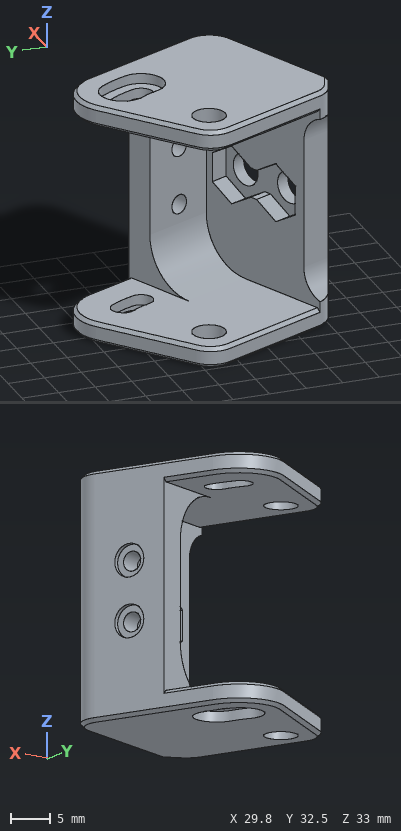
import cadquery as cq
import math

TURN = 24.0
HEIGHT = 32.95
WIDTH = 24.45
PLATE = 2.8
EDGE_CHAMFER = 0.5

REAR_SLOPE = math.radians(15.0)
LEFT_SIDE = 23.35
FRONT_LEFT_CUT = 2.93
FRONT_LEFT_RADIUS = 4.0
FRONT_RIGHT_RADIUS = 4.0
REAR_LEFT_RADIUS = 3.5
REAR_RIGHT_RADIUS = 6.0

FRONT_WALL = 4.4
SIDE_WALL = 3.85
SIDE_WALL_END = 14.55
FRONT_FILLET = 4.0
FRONT_OPENING_Z = 3.62
SIDE_FILLET = 6.98

PIVOT_X, PIVOT_Y = 4.85, 19.6
PIVOT_DIAMETER = 4.4
SLOT_RADIUS = 13.37
SLOT_START, SLOT_END = -4.5, 10.5
SLOT_WIDTH = 3.2
RECESS_WIDTH = 6.2
RECESS_DEPTH = 1.38

FRONT_HOLE_DIAMETER = 4.4
FRONT_HOLE_X = 8.0
FRONT_HOLE_PITCH = 8.0
NUT_FLATS = 6.98
NUT_DEPTH = 2.5
SIDE_HOLE_DIAMETER = 2.6
SIDE_BORE_DIAMETER = 4.4
SIDE_BORE_DEPTH = 0.65
SIDE_HOLE_Y = 9.3
SIDE_HOLE_PITCH = 7.97

MARGIN = 9.88
FRONT_HOLES = (FRONT_HOLE_X, FRONT_HOLE_X + FRONT_HOLE_PITCH)


def box(x0, x1, y0, y1, z0, z1):
    return cq.Workplane("XY").box(x1 - x0, y1 - y0, z1 - z0, centered=False).translate((x0, y0, z0))


def outline_prism(z0, depth):
    """Plate outline with rounded corners, chamfered around both ends."""
    right_side = LEFT_SIDE + WIDTH * math.tan(REAR_SLOPE)
    prism = (
        cq.Workplane("XY")
        .polyline([
            (FRONT_LEFT_CUT, 0),
            (WIDTH, 0),
            (WIDTH, right_side),
            (0, LEFT_SIDE),
            (0, FRONT_LEFT_CUT),
        ])
        .close()
        .extrude(depth)
        .translate((0, 0, z0))
    )
    corners = [
        (WIDTH, 0, FRONT_RIGHT_RADIUS),
        (WIDTH, right_side, REAR_RIGHT_RADIUS),
        (0, LEFT_SIDE, REAR_LEFT_RADIUS),
        (0, FRONT_LEFT_CUT, FRONT_LEFT_RADIUS),
    ]
    for x, y, radius in corners:
        corner = cq.selectors.NearestToPointSelector((x, y, z0 + depth / 2))
        prism = prism.edges("|Z").edges(corner).fillet(radius)
    return prism.faces("<Z or >Z").chamfer(EDGE_CHAMFER)


def opening(face_x, y0, y1, z0, radius):
    """Space centred in height, left of face_x, rounded into the wall at top and bottom."""
    block = box(-MARGIN, face_x, y0, y1, z0, HEIGHT - z0)
    return block.edges("|Y and >X").fillet(radius)


def walls():
    side_face = WIDTH - SIDE_WALL
    body = outline_prism(0, HEIGHT)
    body = body.cut(opening(FRONT_LEFT_CUT, -MARGIN, FRONT_WALL, FRONT_OPENING_Z, FRONT_FILLET))
    body = body.cut(opening(side_face, FRONT_WALL, SIDE_WALL_END, PLATE, SIDE_FILLET))
    body = body.cut(box(-MARGIN, WIDTH + MARGIN, SIDE_WALL_END, HEIGHT + MARGIN, 0, HEIGHT))
    return body.cut(box(-MARGIN, side_face - SIDE_FILLET, FRONT_WALL, SIDE_WALL_END, 0, HEIGHT))


def arc_slot(width, z0, depth):
    """Curved slot with round ends, centred on an arc about the pivot."""
    def polar(radius, degrees):
        angle = math.radians(degrees)
        return (PIVOT_X + radius * math.cos(angle), PIVOT_Y + radius * math.sin(angle))

    inner = SLOT_RADIUS - width / 2
    outer = SLOT_RADIUS + width / 2
    middle = (SLOT_START + SLOT_END) / 2
    band = (
        cq.Workplane("XY")
        .moveTo(*polar(inner, SLOT_START))
        .lineTo(*polar(outer, SLOT_START))
        .threePointArc(polar(outer, middle), polar(outer, SLOT_END))
        .lineTo(*polar(inner, SLOT_END))
        .threePointArc(polar(inner, middle), polar(inner, SLOT_START))
        .close()
        .extrude(depth)
    )
    ends = [polar(SLOT_RADIUS, SLOT_START), polar(SLOT_RADIUS, SLOT_END)]
    round_ends = cq.Workplane("XY").pushPoints(ends).circle(width / 2).extrude(depth)
    return band.union(round_ends).translate((0, 0, z0))


def plate_cuts():
    pivot = cq.Workplane("XY").center(PIVOT_X, PIVOT_Y).circle(PIVOT_DIAMETER / 2).extrude(HEIGHT)
    cuts = pivot.union(arc_slot(SLOT_WIDTH, 0, HEIGHT))
    for z0 in (0, HEIGHT - RECESS_DEPTH):
        cuts = cuts.union(arc_slot(RECESS_WIDTH, z0, RECESS_DEPTH))
    return cuts


def front_wall_cuts():
    """Two screw holes with hexagonal nut pockets joined into one recess."""
    nut_corners = NUT_FLATS / math.cos(math.radians(30))
    nut_side = nut_corners / 2
    floor_y = FRONT_WALL - NUT_DEPTH
    cuts = box(
        FRONT_HOLES[0], FRONT_HOLES[1], floor_y, FRONT_WALL,
        (HEIGHT - nut_side) / 2, (HEIGHT + nut_side) / 2,
    )
    for x in FRONT_HOLES:
        hole = (
            cq.Workplane("XZ", origin=(x, 0, HEIGHT / 2))
            .circle(FRONT_HOLE_DIAMETER / 2)
            .extrude(-FRONT_WALL)
        )
        nut = (
            cq.Workplane("XZ", origin=(x, floor_y, HEIGHT / 2))
            .transformed(rotate=(0, 0, 90))
            .polygon(6, nut_corners)
            .extrude(-NUT_DEPTH)
        )
        cuts = cuts.union(hole).union(nut)
    return cuts


def side_wall_holes():
    """Two screw holes through the side wall, counterbored from outside."""
    def hole_pair(diameter, depth):
        return (
            cq.Workplane("YZ", origin=(WIDTH - depth, SIDE_HOLE_Y, HEIGHT / 2))
            .rarray(0.33, SIDE_HOLE_PITCH, 1, 2)
            .circle(diameter / 2)
            .extrude(depth)
        )

    through = hole_pair(SIDE_HOLE_DIAMETER, SIDE_WALL)
    return through.union(hole_pair(SIDE_BORE_DIAMETER, SIDE_BORE_DEPTH))


part = walls()
for plate_z in (0, HEIGHT - PLATE):
    part = part.union(outline_prism(plate_z, PLATE))
for cuts in (plate_cuts(), front_wall_cuts(), side_wall_holes()):
    part = part.cut(cuts)

result = part.rotate((0, 0, 0), (0, 0, 1), TURN)